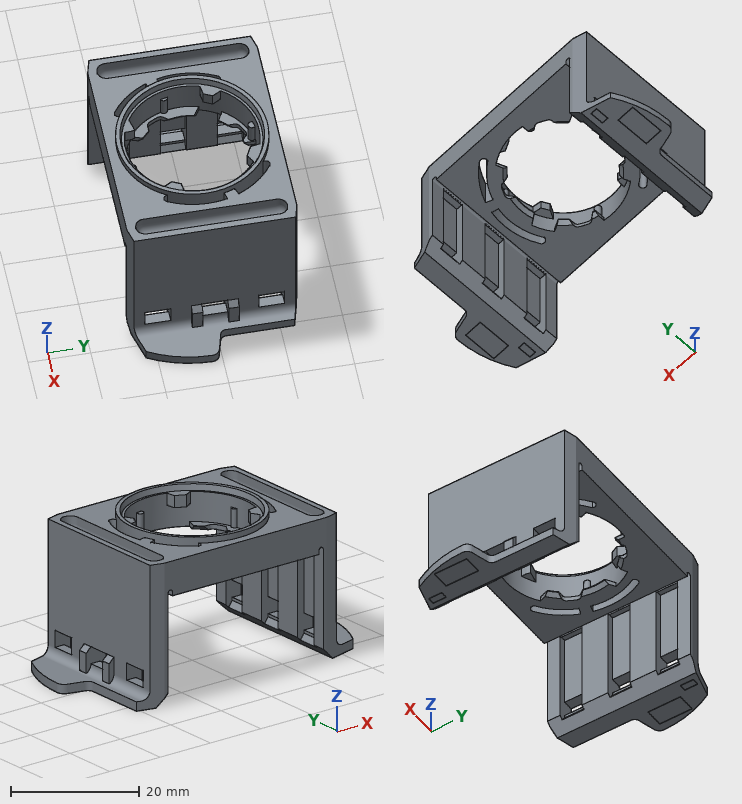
import cadquery as cq
import math

length = 50.85
width = 27.0
height = 25.15
plate_top = 24.15
crossbar_depth = 5.85
leg_outer_x = 18.5
leg_thickness = 3.1
leg_inner_x = leg_outer_x - leg_thickness

pad_height = 0.1
foot_thickness = 1.6
foot_top = pad_height + foot_thickness
foot_edge_x = 20.75
foot_bend_radius = 1.45
leg_toe_chamfer = 2.15
tab_arc_radius = 20.35
tab_arc_center_y = 1.6
tab_root_y = -0.55
tab_tip_radius = 1.3
tab_root_radius = 1.0
taper_start_x = 16.1
taper_slope = math.tan(math.radians(15))

relief_width = 0.85
relief_top = 19.35

window_width = 4.1
window_spacing = 9.05
window_bottom = 3.2
window_top = 6.05
recess_depth = 1.25
recess_wall_bottom = 2.7
recess_exit_x = 15.95
lug_width = 1.7
lug_reach = 0.9

groove_radius = 1.5
groove_x = 15.9
groove_length = 24.1
groove_wall_depth = 1.4

rim_diameter = 23.95
rim_mouth_radius = 11.3
rim_seat_radius = 11.05
bore_diameter = 21.2
bore_radius = bore_diameter / 2
flange_thickness = 0.8
flange_bevel = 0.65
flange_inner_radius = 8.77
crossbar_bottom = plate_top - crossbar_depth
flange_top = crossbar_bottom + flange_thickness
lobe_radius = 9.95
lobe_corner_radius = 0.75
lobe_inner_half_angle = 12.7
lobe_outer_half_angle = 7.3
lobe_angles = (26.5, 117.2)
wide_gap_edge_x = -1.7
wide_gap_inner_angle = 50.4
wide_gap_outer_angle = 54.0
narrow_gap_inner_angles = (141, 167)
narrow_gap_outer_angles = (143.3, 163.5)
wall_overlap = 0.25

key_height = 2.05
key_face_radius = 9.15
key_flare = math.tan(math.radians(35))
key_wide = 1.95
key_narrow = 1.5
key_wide_angle = 63.5
key_narrow_angle = key_wide_angle + 90
coding_key_edge_x = -3.25
coding_key_angles = (236.6, 248)
pin_radius = 0.6
pin_top = 22.25
pin_positions = ((10.25, 104), (10.7, 13.7))

slot_inner_radius = 23.8 / 2
slot_outer_radius = 13.2
slot_spans = ((13.6, -28.3), (22.4, 55.1))

pad_layout = ((-22.25, 5.0, 3.25, 6.1), (-19.15, 10.65, 1.2, 2.45))


def polar(radius, degrees):
    angle = math.radians(degrees)
    return (radius * math.cos(angle), radius * math.sin(angle))


def prism(points, bottom, top):
    return cq.Workplane("XY").workplane(offset=bottom).polyline(points).close().extrude(top - bottom)


def cylinder(radius, bottom, top, center=(0, 0)):
    return cq.Workplane("XY").workplane(offset=bottom).center(*center).circle(radius).extrude(top - bottom)


def block(x_range, y_range, z_range):
    corner = (x_range[0], y_range[0], z_range[0])
    size = [high - low for low, high in (x_range, y_range, z_range)]
    return cq.Workplane("XY").box(*size, centered=False).translate(corner)


def half_turn(shape):
    """The shape together with its copy turned 180 degrees about Z."""
    return shape.union(shape.rotate((0, 0, 0), (0, 0, 1), 180))


def make_elevation():
    """Bridge outline in XZ, drawn as one half, extruded over the full width and mirrored."""
    relief_outer = leg_inner_x
    relief_inner = relief_outer - relief_width
    relief_shoulder = relief_top - relief_width / 2
    bend = foot_bend_radius
    bend_mid = bend * (1 - math.sqrt(0.5))
    half = (
        cq.Workplane("XZ")
        .moveTo(0, plate_top)
        .lineTo(leg_outer_x, plate_top)
        .lineTo(leg_outer_x, foot_top + bend)
        .threePointArc(
            (leg_outer_x + bend_mid, foot_top + bend_mid), (leg_outer_x + bend, foot_top)
        )
        .lineTo(length / 2, foot_top)
        .lineTo(length / 2, pad_height)
        .lineTo(leg_inner_x + leg_toe_chamfer, pad_height)
        .lineTo(leg_inner_x, pad_height + leg_toe_chamfer)
        .lineTo(relief_outer, relief_shoulder)
        .threePointArc(
            ((relief_outer + relief_inner) / 2, relief_top), (relief_inner, relief_shoulder)
        )
        .lineTo(relief_inner, crossbar_bottom)
        .lineTo(0, crossbar_bottom)
        .close()
        .extrude(width / 2, both=True)
    )
    return half.union(half.mirror("YZ"))


def taper_y(x):
    """Half width of the tapered end at distance x from the centre."""
    return width / 2 - (x - taper_start_x) * taper_slope


def make_plan():
    """Plan outline: tapered ends and one curved tab on each foot."""
    beyond = length / 2 + foot_thickness
    tab_drop = (beyond - foot_edge_x) * taper_slope
    outline = [
        (0, width / 2),
        (-taper_start_x, width / 2),
        (-beyond, taper_y(beyond)),
        (-beyond, tab_root_y + tab_drop),
        (-foot_edge_x, tab_root_y),
        (-foot_edge_x, -taper_y(foot_edge_x)),
        (-taper_start_x, -width / 2),
        (0, -width / 2),
    ]
    tab_disc = cylinder(
        tab_arc_radius, 0, height, (tab_arc_radius - length / 2, tab_arc_center_y)
    )
    bridge = block((-foot_edge_x, 0), (-width / 2, width / 2), (0, height))
    half = prism(outline, 0, height).intersect(tab_disc.union(bridge))
    tip_y = tab_root_y + (length / 2 - foot_edge_x) * taper_slope
    half = half.edges(cq.NearestToPointSelector((-length / 2, tip_y, height / 2))).fillet(tab_tip_radius)
    root = (-foot_edge_x, tab_root_y, height / 2)
    half = half.edges(cq.NearestToPointSelector(root)).fillet(tab_root_radius)
    return half_turn(half)


def make_leg_openings():
    """Windows through both legs, with recesses down the inner faces that run out at the toe."""
    recess_outer_x = leg_inner_x + recess_depth
    toe_line = leg_inner_x + pad_height + leg_toe_chamfer
    recess_profile = [
        (leg_inner_x, relief_top),
        (recess_outer_x, relief_top),
        (recess_outer_x, recess_wall_bottom),
        (recess_exit_x, toe_line - recess_exit_x),
        (leg_inner_x, toe_line - recess_exit_x),
    ]
    recess = cq.Workplane("XZ").polyline(recess_profile).close().extrude(window_width / 2, both=True)
    window = block(
        (leg_inner_x, leg_outer_x),
        (-window_width / 2, window_width / 2),
        (window_bottom, window_top),
    )
    opening = recess.union(window)
    openings = cq.Workplane("XY")
    for y in (-window_spacing, 0, window_spacing):
        openings = openings.add(opening.translate((0, y, 0)))
    return half_turn(openings.combine())


def make_lugs():
    """Bevelled lugs beside the middle window on the outside of each leg."""
    face_x = leg_outer_x + lug_reach
    profile = [
        (leg_outer_x, pad_height),
        (face_x, pad_height),
        (face_x, window_top - lug_reach),
        (leg_outer_x, window_top),
    ]
    lug = cq.Workplane("XZ").polyline(profile).close().extrude(lug_width)
    right = lug.translate((0, -window_width / 2, 0)).add(
        lug.translate((0, window_width / 2 + lug_width, 0))
    )
    return half_turn(right.combine())


def make_grip_grooves():
    """Straight-walled grooves with a round bottom and ball ends, one along each end of the top."""
    straight = groove_length - 2 * groove_radius
    floor_axis = plate_top - groove_wall_depth
    trough = cq.Workplane("XZ").circle(groove_radius).extrude(straight / 2, both=True)
    for y in (-straight / 2, straight / 2):
        trough = trough.union(cq.Workplane("XY").sphere(groove_radius).translate((0, y, 0)))
    walls = cq.Workplane("XY").slot2D(groove_length, 2 * groove_radius, 90).extrude(groove_wall_depth)
    return half_turn(trough.union(walls).translate((groove_x, 0, floor_axis)))


def make_rim():
    """Rim cylinder standing above the top and reaching down to the underside of the crossbar."""
    return cylinder(rim_diameter / 2, crossbar_bottom, height)


def make_bore():
    """Through bore with a tapered mouth inside the rim."""
    mouth = (
        cq.Workplane("XY")
        .workplane(offset=plate_top)
        .circle(rim_seat_radius)
        .workplane(offset=height - plate_top)
        .circle(rim_mouth_radius)
        .loft()
    )
    return cylinder(bore_radius, crossbar_bottom, plate_top).union(mouth)


def make_lobe(angle):
    """Round-cornered bay in the inner edge of the flange, narrowing outward."""
    start, end = angle - lobe_outer_half_angle, angle + lobe_outer_half_angle
    bay = (
        cq.Workplane("XY")
        .workplane(offset=crossbar_bottom)
        .moveTo(*polar(flange_inner_radius, angle - lobe_inner_half_angle))
        .lineTo(*polar(lobe_radius, start))
        .threePointArc(polar(lobe_radius, angle), polar(lobe_radius, end))
        .lineTo(*polar(flange_inner_radius, angle + lobe_inner_half_angle))
        .close()
        .extrude(flange_thickness)
    )
    for corner in (start, end):
        point = polar(lobe_radius, corner) + (crossbar_bottom + flange_thickness / 2,)
        bay = bay.edges("|Z").edges(cq.NearestToPointSelector(point)).fillet(lobe_corner_radius)
    return bay


def make_flange():
    """Inward flange at the bottom of the bore, bevelled underneath and broken by bays and gaps."""
    flange = cylinder(bore_radius + wall_overlap, crossbar_bottom, flange_top).cut(
        cylinder(flange_inner_radius, crossbar_bottom, flange_top)
    )
    flange = flange.faces("<Z").edges(cq.selectors.RadiusNthSelector(0)).chamfer(flange_bevel)
    beyond_flange = bore_radius + 1
    wide_start = polar(flange_inner_radius, wide_gap_inner_angle)
    wide_gap = [
        (wide_gap_edge_x, wide_start[1]),
        wide_start,
        polar(bore_radius, wide_gap_outer_angle),
        polar(beyond_flange, key_wide_angle),
        (wide_gap_edge_x, beyond_flange),
    ]
    narrow_gap = [
        polar(flange_inner_radius, narrow_gap_inner_angles[0]),
        polar(bore_radius, narrow_gap_outer_angles[0]),
        polar(beyond_flange, sum(narrow_gap_outer_angles) / 2),
        polar(bore_radius, narrow_gap_outer_angles[1]),
        polar(flange_inner_radius, narrow_gap_inner_angles[1]),
    ]
    openings = prism(wide_gap, crossbar_bottom, flange_top)
    openings = openings.union(prism(narrow_gap, crossbar_bottom, flange_top))
    for angle in lobe_angles:
        openings = openings.union(make_lobe(angle))
    return flange.cut(half_turn(openings))


def make_key(face_width, angle):
    """Key on the bore wall, flaring outward from a flat inner face."""
    root_radius = bore_radius + wall_overlap
    root_half = face_width / 2 + (root_radius - key_face_radius) * key_flare
    outline = [
        (key_face_radius, -face_width / 2),
        (root_radius, -root_half),
        (root_radius, root_half),
        (key_face_radius, face_width / 2),
    ]
    key = prism(outline, plate_top - key_height, plate_top)
    return key.rotate((0, 0, 0), (0, 0, 1), angle)


def make_coding_key():
    """One-sided key opposite the wide key, with one edge parallel to Y."""
    outline = [
        polar(bore_radius + wall_overlap, coding_key_angles[0]),
        polar(key_face_radius, coding_key_angles[1]),
        (coding_key_edge_x, -key_face_radius),
        (coding_key_edge_x, -bore_radius),
    ]
    return prism(outline, plate_top - key_height, plate_top)


def make_bore_details():
    """Flange, keys and half-round pins standing on the bore wall."""
    details = make_key(key_narrow, key_narrow_angle)
    for radius, angle in pin_positions:
        details = details.union(cylinder(pin_radius, crossbar_bottom, pin_top, polar(radius, angle)))
    details = half_turn(details).union(make_key(key_wide, key_wide_angle)).union(make_coding_key())
    tube = cylinder(bore_radius + wall_overlap, crossbar_bottom, plate_top)
    return details.intersect(tube).union(make_flange())


def make_arc_slots():
    """Arc slots through the crossbar: square at one end and round at the other.

    Their inner edge lies just inside the rim, so the rim wall closes them there.
    """
    middle_radius = (slot_inner_radius + slot_outer_radius) / 2
    end_radius = (slot_outer_radius - slot_inner_radius) / 2
    slots = cq.Workplane("XY")
    for square_end, round_end in slot_spans:
        middle = (square_end + round_end) / 2
        slot = (
            cq.Workplane("XY")
            .workplane(offset=crossbar_bottom)
            .moveTo(*polar(slot_inner_radius, square_end))
            .threePointArc(polar(slot_inner_radius, middle), polar(slot_inner_radius, round_end))
            .lineTo(*polar(slot_outer_radius, round_end))
            .threePointArc(polar(slot_outer_radius, middle), polar(slot_outer_radius, square_end))
            .close()
            .extrude(plate_top - crossbar_bottom)
        )
        tip = cylinder(end_radius, crossbar_bottom, plate_top, polar(middle_radius, round_end))
        slots = slots.add(slot.union(tip))
    return half_turn(slots.combine())


def make_pads():
    """Low pads under the feet, sunk into the foot by their own height."""
    pads = cq.Workplane("XY")
    for x, y, size_x, size_y in pad_layout:
        pad = cq.Workplane("XY").box(size_x, size_y, 2 * pad_height, centered=(True, True, False))
        pads = pads.add(pad.translate((x, y, 0)))
    return half_turn(pads.combine())


result = make_elevation().intersect(make_plan())
result = result.union(make_lugs()).cut(make_leg_openings()).cut(make_grip_grooves())
result = result.cut(make_arc_slots()).union(make_rim())
result = result.cut(make_bore()).union(make_bore_details()).union(make_pads()).solids()